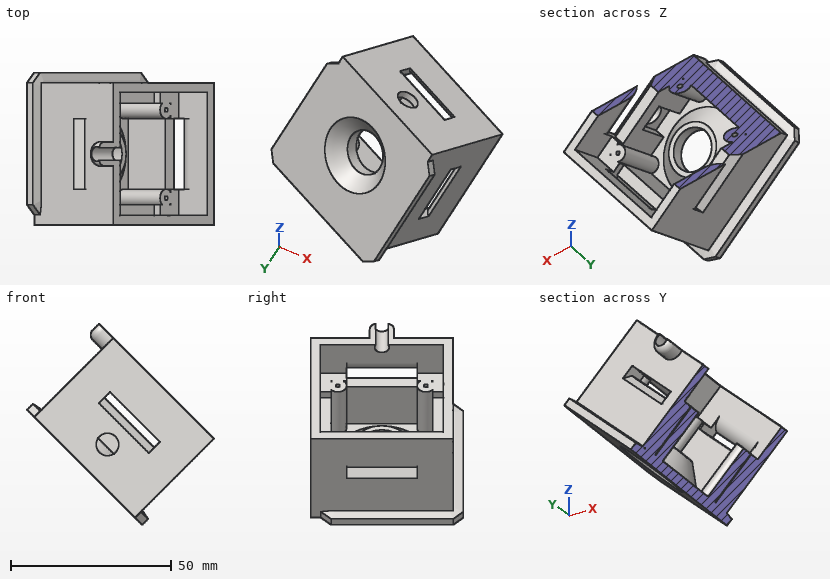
import cadquery as cq
import math

tilt_angle = 45

box_side = 44.45
box_height = 34.95
wall = 3.0
floor_thickness = 3.5
half_side = box_side / 2
half_cavity = half_side - wall

shelf_height = 22.3
half_lining = 15.85

post_diameter = 5.55
post_offset = 13.75
screw_diameter = 1.25
screw_depth = 10.0

slot_width = 22.05
slot_sill = 19.8
slot_outer_sill = 17.35
lintel_radius = 4.9
lintel_height = 26.8

funnel_height = 9.4
bore_diameter = 14.3
funnel_mouth_diameter = 24.3
funnel_rim_diameter = 17.85

side_hole_diameter = 7.05
side_hole_height = 10.1
side_hole_depth = 2.5
bay_height = 15.1
bay_width = 9.0

flange_width = 3.2
flange_edge_height = 2.65
flange_rise = 0.5
flange_bevel_width = 2.5
flange_corner = 3.15

tube_length = 6.35
tube_diameter = 7.8
tube_bore = 4.5
tube_axis_drop = 1.15
tube_round = 2.2


def block(width, depth, bottom, top):
    """Rectangular block centred on the Z axis."""
    return cq.Workplane("XY").workplane(offset=bottom).rect(width, depth).extrude(top - bottom)


def cylinder_z(diameter, bottom, top, x=0, y=0):
    return cq.Workplane("XY").workplane(offset=bottom).center(x, y).circle(diameter / 2).extrude(top - bottom)


def make_box():
    body = block(box_side, box_side, 0, box_height)
    body = body.cut(block(2 * half_cavity, 2 * half_cavity, shelf_height, box_height))
    return body.cut(block(2 * half_lining, 2 * half_lining, floor_thickness, shelf_height))


def octagon(plane, half_width, y_min, y_max, corner):
    """Rectangle with four 45 degree corners."""
    return plane.polyline([
        (-half_width + corner, y_min), (half_width - corner, y_min),
        (half_width, y_min + corner), (half_width, y_max - corner),
        (half_width - corner, y_max), (-half_width + corner, y_max),
        (-half_width, y_max - corner), (-half_width, y_min + corner),
    ]).close()


def make_flange():
    half_width = half_side + flange_width
    y_min = -half_side + flange_width
    y_max = half_side + flange_width
    top_corner = flange_corner - flange_bevel_width * (2 - math.sqrt(2))
    plate = octagon(cq.Workplane("XY"), half_width, y_min, y_max, flange_corner)
    plate = plate.extrude(flange_edge_height)
    bevel = octagon(
        cq.Workplane("XY").workplane(offset=flange_edge_height), half_width, y_min, y_max, flange_corner
    )
    bevel = octagon(
        bevel.workplane(offset=flange_rise),
        half_width - flange_bevel_width,
        y_min + flange_bevel_width,
        y_max - flange_bevel_width,
        top_corner,
    ).loft(ruled=True)
    return plate.union(bevel)


def cone_z(bottom_diameter, top_diameter, bottom, top):
    profile = [
        (0, bottom), (bottom_diameter / 2, bottom), (top_diameter / 2, top), (0, top),
    ]
    return cq.Workplane("XZ").polyline(profile).close().revolve(360, (0, 0, 0), (0, 1, 0))


def add_funnel(body):
    """Raise a 45 degree collar on the floor and open it with a countersunk bore."""
    collar_base = funnel_rim_diameter + 2 * (funnel_height - floor_thickness)
    countersink_depth = (funnel_mouth_diameter - bore_diameter) / 2
    collar = cone_z(collar_base, funnel_rim_diameter, floor_thickness, funnel_height)
    countersink = cone_z(funnel_mouth_diameter, bore_diameter, 0, countersink_depth)
    bore = cylinder_z(bore_diameter, 0, funnel_height)
    return body.union(collar).cut(countersink).cut(bore)


def add_posts(body):
    screw_holes = cq.Workplane("XY")
    for x in (-post_offset, post_offset):
        for y in (-post_offset, post_offset):
            body = body.union(cylinder_z(post_diameter, 0, shelf_height, x, y))
            screw_holes = screw_holes.union(
                cylinder_z(screw_diameter, shelf_height - screw_depth, shelf_height, x, y)
            )
    return body.cut(screw_holes)


def make_slot():
    """Slot through the +X wall: sill sloping down outwards, lintel rounded on the inside."""
    sill_break = half_side - (slot_sill - slot_outer_sill)
    arc_x = half_cavity + lintel_radius

    outer_z = lintel_height - math.sqrt(lintel_radius**2 - (arc_x - half_side)**2)
    middle_x = (half_cavity + half_side) / 2
    middle_z = lintel_height - math.sqrt(lintel_radius**2 - (arc_x - middle_x)**2)
    profile = (
        cq.Workplane("XZ").workplane(offset=-slot_width / 2)
        .moveTo(half_lining, slot_sill)
        .lineTo(sill_break, slot_sill)
        .lineTo(half_side, slot_outer_sill)
        .lineTo(half_side, outer_z)
        .threePointArc((middle_x, middle_z), (half_cavity, lintel_height))
        .lineTo(half_lining, lintel_height)
        .close()
    )
    return profile.extrude(slot_width)


def cut_slots(body):
    slot = make_slot()
    for quarter in range(4):
        body = body.cut(slot.rotate((0, 0, 0), (0, 0, 1), 90 * quarter))
    return body


def cut_side_hole(body):
    """Hole through the -Y wall, opening into a bay recessed in the lining below the sill."""
    bay_depth = half_side - side_hole_depth - half_lining
    bay = block(bay_width, bay_depth, floor_thickness, bay_height)
    bay = bay.translate((0, -half_lining - bay_depth / 2, 0))
    hole = (
        cq.Workplane("XZ").workplane(offset=half_lining)
        .center(0, side_hole_height)
        .circle(side_hole_diameter / 2)
        .extrude(half_side - half_lining)
    )
    return body.cut(bay).cut(hole)


def add_tube(body):
    """Tube with a rounded tip, trimmed flush with the box rim and bored through the wall."""
    axis_z = box_height - tube_axis_drop
    tip = cq.Workplane("YZ").workplane(offset=-half_side - tube_length).center(0, axis_z)
    tube = tip.circle(tube_diameter / 2).extrude(tube_length + wall)
    tube = tube.faces("<X").edges().fillet(tube_round)
    tube = tube.intersect(block(2 * box_side, box_side, 0, box_height))
    bore = tip.circle(tube_bore / 2).extrude(tube_length + wall)
    return body.union(tube).cut(bore)


body = make_box().union(make_flange())
body = add_funnel(body)
body = add_posts(body)
body = cut_slots(body)
body = cut_side_hole(body)
body = add_tube(body)
result = body.rotate((0, 0, 0), (0, 1, 0), tilt_angle)